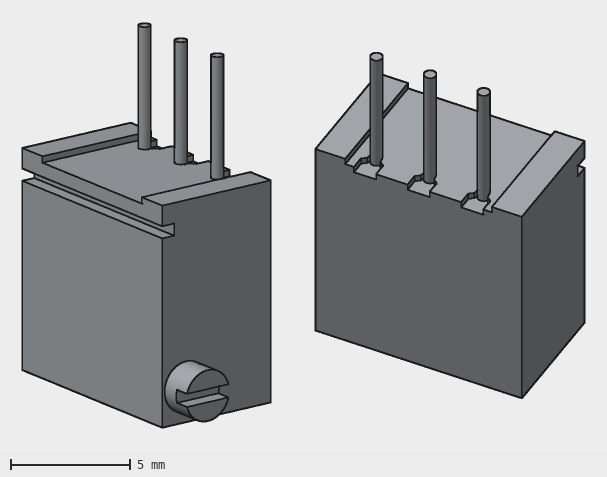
import cadquery as cq

body_width = 9.79
body_depth = 5.7
body_height = 9.82
total_width = 11.3
total_height = 14.94

rail_width = 1.42
recess_depth = 0.28
floor_z = body_height - recess_depth

groove_bottom_z = 8.37
groove_height = 0.54
groove_depth = 0.63

pin_diameter = 0.54
pin_radius = pin_diameter / 2
pin_pitch = 2.54
pin_back_offset = 1.05
pin_y = body_depth - pin_back_offset
pin_positions = [body_width / 2 + step * pin_pitch for step in (-1, 0, 1)]

pocket_depth = 0.28
pocket_width = 1.05
pocket_straight = 0.64
pocket_neck_width = 0.63
pocket_neck_offset = 0.8
pocket_floor_z = floor_z - pocket_depth

screw_diameter = 2.25
screw_y = 1.25
screw_z = 1.57
slot_width = 0.58
slot_depth = 0.7


def box(x, y, z, width, depth, height):
    """Box with its minimum corner at (x, y, z)."""
    return cq.Workplane("XY").box(width, depth, height, centered=False).translate((x, y, z))


def housing():
    body = box(0, 0, 0, body_width, body_depth, body_height)
    recess_width = body_width - 2 * rail_width
    recess = box(rail_width, 0, floor_z, recess_width, body_depth, recess_depth)
    groove = box(0, 0, groove_bottom_z, body_width, groove_depth, groove_height)
    return body.cut(recess).cut(groove)


def pin_pocket(x):
    """Pocket open at the back, narrowing to a round end around the pin."""
    half_width = pocket_width / 2
    half_neck = pocket_neck_width / 2
    shoulder_y = body_depth - pocket_straight
    neck_y = body_depth - pocket_neck_offset
    return (
        cq.Workplane("XY", origin=(x, 0, pocket_floor_z))
        .moveTo(-half_width, body_depth)
        .lineTo(-half_width, shoulder_y)
        .lineTo(-half_neck, neck_y)
        .lineTo(-pin_radius, pin_y)
        .threePointArc((0, pin_y - pin_radius), (pin_radius, pin_y))
        .lineTo(half_neck, neck_y)
        .lineTo(half_width, shoulder_y)
        .lineTo(half_width, body_depth)
        .close()
        .extrude(pocket_depth)
    )


def pin(x):
    pin_length = total_height - pocket_floor_z
    return cq.Workplane("XY", origin=(x, pin_y, pocket_floor_z)).circle(pin_radius).extrude(pin_length)


def adjusting_screw():
    screw_length = total_width - body_width
    shaft = (
        cq.Workplane("YZ", origin=(body_width, screw_y, screw_z))
        .circle(screw_diameter / 2)
        .extrude(screw_length)
    )
    slot = box(
        total_width - slot_depth,
        screw_y - screw_diameter / 2,
        screw_z - slot_width / 2,
        slot_depth,
        screw_diameter,
        slot_width,
    )
    return shaft.cut(slot)


result = housing().union(adjusting_screw())
for pin_x in pin_positions:
    result = result.cut(pin_pocket(pin_x)).union(pin(pin_x))